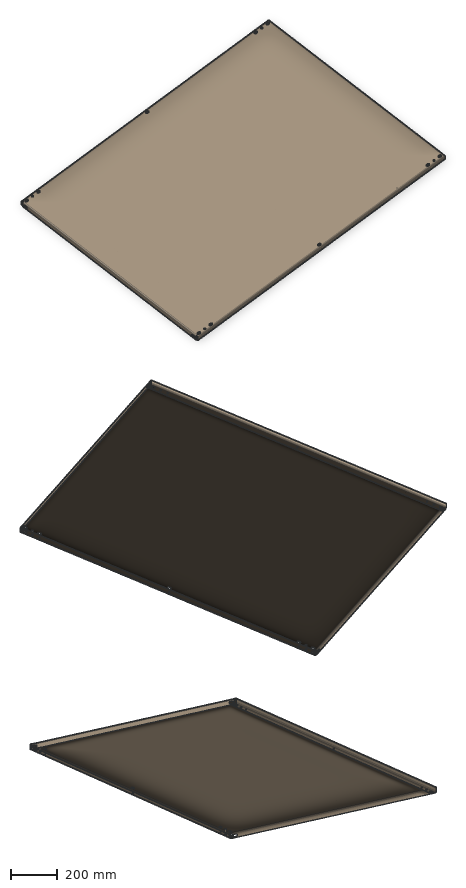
import cadquery as cq

length = 1488.0
width = 1088.0
height = 27.0

sheet = 2.2
bend_radius = 6.0
return_lip = 30.0
channel_end_inset = 2.7
flange_side_inset = 10.0

slot_inset = 15.0
slot_width = 10.0
slot_length = 16.0
corner_slot_inset = 21.0
outer_slot_inset = 92.0
lip_hole_diameter = 6.0

end_slot_inset = 27.0
end_slot_length = 22.0
end_slot_height = 10.0
end_slot_z = -3.0

pin_diameter = 9.0
pin_end_inset = 57.0

inner_radius = bend_radius - sheet
channel_length = length - 2 * channel_end_inset
flange_width = width - 2 * flange_side_inset
flat_length = length - 2 * bend_radius
half_width = width / 2
half_length = length / 2
half_height = height / 2
slot_x = half_width - slot_inset
end_slot_x = half_width - end_slot_inset
corner_slot_y = half_length - corner_slot_inset
outer_slot_y = half_length - outer_slot_inset
pin_y = half_length - pin_end_inset
SIDES = (-1, 1)


def box(size_x, size_y, size_z):
    return cq.Workplane("XY").box(size_x, size_y, size_z)


def corner_points(x, y):
    return [(side * x, end * y) for side in SIDES for end in SIDES]


def make_side_channels():
    """Top sheet with both long edges folded down and back under, as one long profile."""
    outside = box(width, channel_length, height).edges("|Y").fillet(bend_radius)
    inside = box(width - 2 * sheet, channel_length, height - 2 * sheet).edges("|Y").fillet(inner_radius)
    opening = box(width - 2 * return_lip, channel_length, height).translate((0, 0, -half_height))
    return outside.cut(inside).cut(opening)


def make_end_flanges():
    """Top sheet with both short edges folded down, narrower than the side channels."""
    outside = box(flange_width, length, height).edges("|X and >Z").fillet(bend_radius)
    inside = box(flange_width, length - 2 * sheet, height).edges("|X and >Z").fillet(inner_radius)
    return outside.cut(inside.translate((0, 0, -sheet)))


def make_end_clearance():
    """Space at both ends where the side channels make way for the end flanges."""
    return box(flange_width, length, height).cut(box(flange_width, flat_length, height))


def make_corner_slots():
    """Slots through the top sheet and the return lip below it."""
    return (
        cq.Workplane("XY")
        .pushPoints(corner_points(slot_x, corner_slot_y))
        .slot2D(slot_length, slot_width, 90)
        .extrude(half_height, both=True)
    )


def make_stepped_openings():
    """Slots through the top sheet, each with a small round hole in the lip below it."""
    places = [(side * slot_x, y) for side in SIDES for y in (-outer_slot_y, 0, outer_slot_y)]
    sheet_slots = (
        cq.Workplane("XY").pushPoints(places).slot2D(slot_length, slot_width, 90).extrude(half_height)
    )
    lip_holes = cq.Workplane("XY").pushPoints(places).circle(lip_hole_diameter / 2).extrude(-half_height)
    return sheet_slots.union(lip_holes)


def make_end_slots():
    """Slots through both end flanges."""
    return (
        cq.Workplane("XZ")
        .pushPoints([(side * end_slot_x, end_slot_z) for side in SIDES])
        .slot2D(end_slot_length, end_slot_height)
        .extrude(half_length, both=True)
    )


def make_panel(pins):
    """Folded panel with all its slots, and a matching hole for each pin."""
    panel = make_side_channels().cut(make_end_clearance()).union(make_end_flanges())
    panel = panel.cut(make_corner_slots()).cut(make_stepped_openings()).cut(make_end_slots())
    for pin in pins:
        panel = panel.cut(pin)
    return panel


def make_pin(x, y):
    """Straight pin from the top face to the underside of the return lip."""
    return (
        cq.Workplane("XY")
        .center(x, y)
        .circle(pin_diameter / 2)
        .extrude(half_height, both=True)
    )


pins = [make_pin(x, y) for x, y in corner_points(slot_x, pin_y)]
panel = make_panel(pins)

result = cq.Compound.makeCompound([panel.solids().val(), *[pin.solids().val() for pin in pins]])